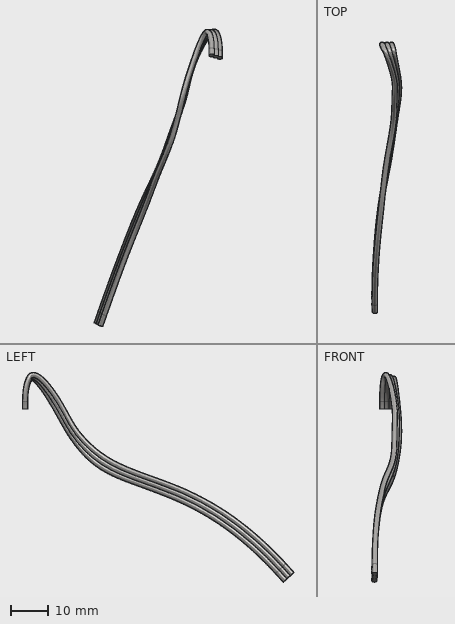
import cadquery as cq
import math

STRAND_RADIUS = 0.72
STRAND_SPACING = 1.25
HOOK_STRAIGHT = 2.0
TAIL_STRAIGHT = 3.2
TAIL_SLOPE = 47.5

UP = cq.Vector(0, 0, 1)
SIDEWAYS = cq.Vector(1, 0, 0)
TAIL_ANGLE = math.radians(TAIL_SLOPE)
TAIL_DIRECTION = cq.Vector(0, -math.cos(TAIL_ANGLE), -math.sin(TAIL_ANGLE))

WAYPOINTS = [
    ((0, 0, HOOK_STRAIGHT), 0),
    ((0.53, -1.41, 8.41), 10),
    ((2.36, -8.19, 1.75), 60),
    ((2.69, -12.99, -6.44), 55),
    ((2.13, -19.39, -13.25), 75),
    ((0.29, -31.11, -18.98), 75),
    ((-1.34, -41.84, -23.11), 91),
    ((-2.59, -53.14, -29.29), 93),
    ((-3.28, -68.69, -42.86), 93),
]


def smooth_curve(points):
    """Spline that leaves the hook straight up and enters the tail along its slope."""
    return cq.Edge.makeSpline(points, tangents=[UP, TAIL_DIRECTION], scale=False)


def row_direction(heading, roll):
    """Unit vector across the ribbon: the sideways direction rolled about the heading."""
    across = (SIDEWAYS - heading * SIDEWAYS.dot(heading)).normalized()
    below = across.cross(heading)
    angle = math.radians(roll)
    return across * math.cos(angle) + below * math.sin(angle)


def strand_curve_points(offset):
    """Waypoints of the strand lying the given distance across the ribbon from the middle one."""
    centers = [cq.Vector(*center) for center, _ in WAYPOINTS]
    middle_curve = smooth_curve(centers)
    points = []
    for center, (_, roll) in zip(centers, WAYPOINTS):
        heading = middle_curve.tangentAt(middle_curve.paramAt(center), mode="parameter")
        points.append(center + row_direction(heading, roll) * offset)
    return points


def strand_path(offset):
    """Centre line of one strand: straight hook end, smooth curve, straight tail."""
    points = strand_curve_points(offset)
    hook_end = points[0] - UP * HOOK_STRAIGHT
    tail_end = points[-1] + TAIL_DIRECTION * TAIL_STRAIGHT
    return cq.Wire.assembleEdges([
        cq.Edge.makeLine(hook_end, points[0]),
        smooth_curve(points),
        cq.Edge.makeLine(points[-1], tail_end),
    ])


def ribbon_section():
    """Outline of three overlapping circles in a row, with a groove where neighbours meet."""
    groove_x = STRAND_SPACING / 2
    groove_y = math.sqrt(STRAND_RADIUS**2 - groove_x**2)
    outer_x = STRAND_SPACING + STRAND_RADIUS
    return (
        cq.Workplane("XY")
        .moveTo(groove_x, groove_y)
        .threePointArc((0, STRAND_RADIUS), (-groove_x, groove_y))
        .threePointArc((-outer_x, 0), (-groove_x, -groove_y))
        .threePointArc((0, -STRAND_RADIUS), (groove_x, -groove_y))
        .threePointArc((outer_x, 0), (groove_x, groove_y))
        .close()
    )


result = ribbon_section().sweep(
    cq.Workplane(strand_path(0)),
    auxSpine=cq.Workplane(strand_path(STRAND_SPACING)),
)